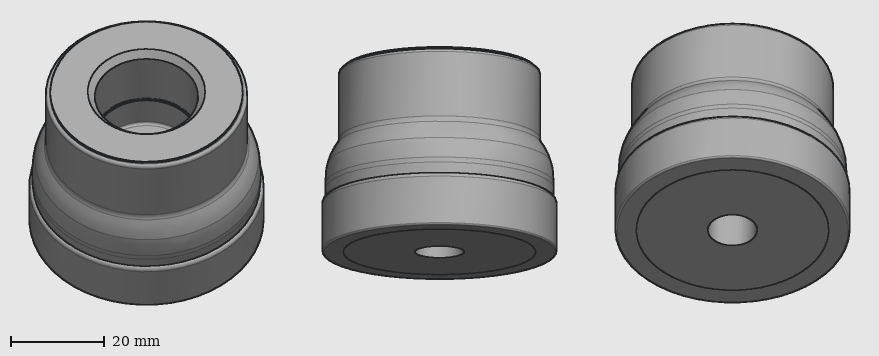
import cadquery as cq
import math

sleeve_height = 39.55
base_shoulder_height = 10.6
base_top_height = 11.5
band_bottom_height = 13.85
band_top_height = 14.95
dome_start_height = 19.35
neck_bottom_height = 23.4
neck_top_height = 24.65

base_radius = 50 / 2
waist_radius = 48.75 / 2
base_top_radius = 24.25
dome_start_radius = 23.85
dome_end_radius = 21.85
collar_radius = 43 / 2
base_round = 0.4
collar_fillet = 0.75

shoulder_bulge = 0.2
lower_waist_bulge = 0.025
upper_waist_bulge = 0.175
dome_bulge = 0.2
neck_bulge = -0.1

core_radius = 41 / 2
core_height = 40.0
bore_radius = 22 / 2
bore_chamfer = 1.5
bore_depth = 21.5
bore_floor_fillet = 0.6
groove_radius = 22.5 / 2
groove_depth = 13.9
groove_width = 0.5
through_hole_radius = 10.5 / 2


def arc_middle(start, end, bulge):
    """Point midway along an arc, offset by the bulge to the right of the chord."""
    dx = end[0] - start[0]
    dz = end[1] - start[1]
    chord = math.hypot(dx, dz)
    return (
        (start[0] + end[0]) / 2 + bulge * dz / chord,
        (start[1] + end[1]) / 2 - bulge * dx / chord,
    )


def make_sleeve():
    shoulder = (base_radius, base_shoulder_height)
    base_top = (base_top_radius, base_top_height)
    band_bottom = (waist_radius, band_bottom_height)
    band_top = (waist_radius, band_top_height)
    dome_start = (dome_start_radius, dome_start_height)
    dome_end = (dome_end_radius, neck_bottom_height)
    neck_end = (collar_radius, neck_top_height)
    profile = (
        cq.Workplane("XZ")
        .moveTo(core_radius, 0)
        .lineTo(base_radius, 0)
        .lineTo(*shoulder)
        .threePointArc(arc_middle(shoulder, base_top, shoulder_bulge), base_top)
        .threePointArc(arc_middle(base_top, band_bottom, lower_waist_bulge), band_bottom)
        .lineTo(*band_top)
        .threePointArc(arc_middle(band_top, dome_start, upper_waist_bulge), dome_start)
        .threePointArc(arc_middle(dome_start, dome_end, dome_bulge), dome_end)
        .threePointArc(arc_middle(dome_end, neck_end, neck_bulge), neck_end)
        .lineTo(collar_radius, sleeve_height)
        .lineTo(core_radius, sleeve_height)
        .close()
    )
    sleeve = profile.revolve(360, (0, 0, 0), (0, 1, 0))
    outer_edge = cq.selectors.RadiusNthSelector(1)
    sleeve = sleeve.faces("<Z").edges(outer_edge).fillet(base_round)
    return sleeve.faces(">Z").edges(outer_edge).fillet(collar_fillet)


def make_core():
    core = cq.Workplane("XY").circle(core_radius).extrude(core_height)
    bore = (
        cq.Workplane("XY", origin=(0, 0, core_height - bore_depth))
        .circle(bore_radius)
        .extrude(bore_depth)
        .faces("<Z")
        .edges()
        .fillet(bore_floor_fillet)
    )
    through_hole = cq.Workplane("XY").circle(through_hole_radius).extrude(core_height)
    groove = (
        cq.Workplane("XY", origin=(0, 0, core_height - groove_depth - groove_width))
        .circle(groove_radius)
        .extrude(groove_width)
    )
    core = core.cut(bore).cut(groove).cut(through_hole)
    bore_rim = cq.selectors.RadiusNthSelector(0)
    return core.faces(">Z").edges(bore_rim).chamfer(bore_chamfer)


sleeve = make_sleeve()
core = make_core()
result = cq.Compound.makeCompound([sleeve.val(), core.val()])